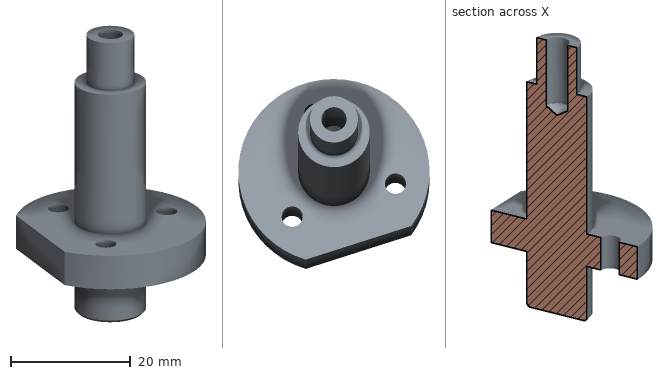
import cadquery as cq
import math

total_height = 49.5
spigot_length = 10.0
flange_thickness = 6.0
tip_length = 8.5
shoulder_height = total_height - tip_length

flange_diameter = 32.0
shaft_diameter = 12.0
tip_diameter = 8.0

flange_depth = 29.0
flat_y = flange_diameter / 2 - flange_depth

mount_hole_count = 3
mount_hole_diameter = 3.5
mount_circle_radius = 10.5
first_hole_angle = 90.0

bore_diameter = 4.2
bore_depth = 12.0
drill_point_angle = 118.0

end_chamfer = 0.5


def make_shaft():
    """Stepped shaft with a chamfered lower end."""
    shaft = (
        cq.Workplane("XY")
        .circle(shaft_diameter / 2)
        .extrude(shoulder_height)
        .faces("<Z")
        .chamfer(end_chamfer)
    )
    tip = (
        cq.Workplane("XY", origin=(0, 0, shoulder_height))
        .circle(tip_diameter / 2)
        .extrude(tip_length)
    )
    return shaft.union(tip)


def make_flange():
    """Round flange with one flat and a ring of through holes."""
    disc = (
        cq.Workplane("XY", origin=(0, 0, spigot_length))
        .circle(flange_diameter / 2)
        .extrude(flange_thickness)
    )
    beyond_flat = cq.Workplane("XY").box(
        flange_diameter, flange_diameter, total_height, centered=(True, False, False)
    ).translate((0, flat_y - flange_diameter, 0))
    holes = (
        cq.Workplane("XY", origin=(0, 0, spigot_length))
        .polarArray(mount_circle_radius, first_hole_angle, 360, mount_hole_count)
        .circle(mount_hole_diameter / 2)
        .extrude(flange_thickness)
    )
    return disc.cut(beyond_flat).cut(holes)


def make_bore():
    """Blind drilled hole with a conical bottom, opening at the top."""
    radius = bore_diameter / 2
    bore_floor = total_height - bore_depth
    point_depth = radius / math.tan(math.radians(drill_point_angle / 2))
    return (
        cq.Workplane("XZ")
        .moveTo(0, bore_floor - point_depth)
        .lineTo(radius, bore_floor)
        .lineTo(radius, total_height)
        .lineTo(0, total_height)
        .close()
        .revolve(360, (0, 0, 0), (0, 1, 0))
    )


result = make_shaft().union(make_flange()).cut(make_bore())